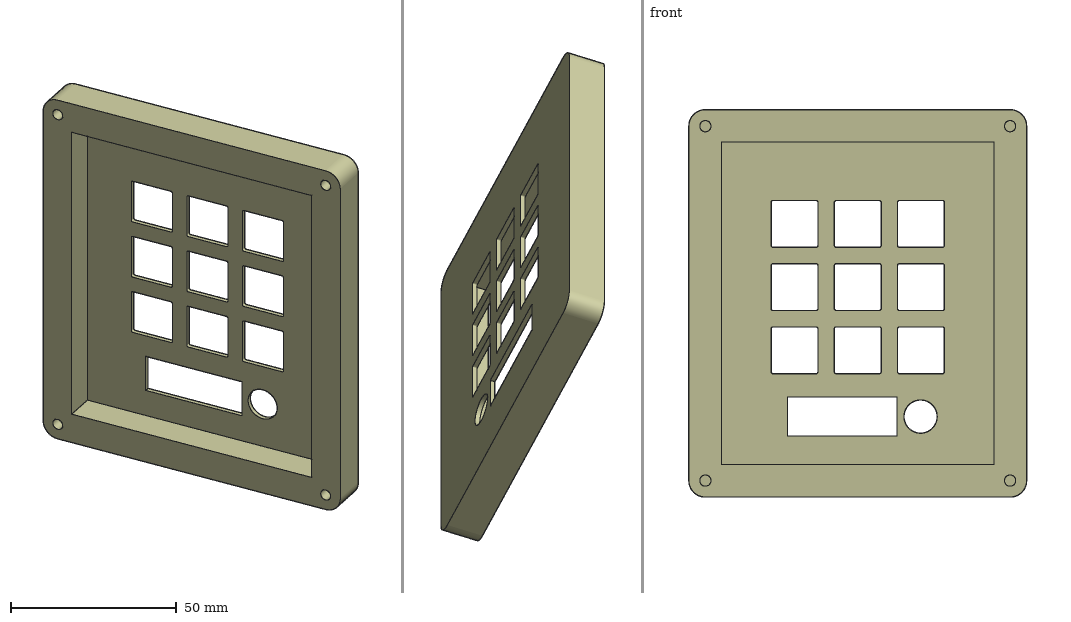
import cadquery as cq

width = 102.0
depth = 11.5
height = 117.0
corner_radius = 5.0

rim_width = 9.8
panel_thickness = 1.5
pocket_depth = depth - panel_thickness

screw_diameter = 3.4
screw_depth = pocket_depth

key_size = 14.0
key_radius = 0.5
key_pitch = 19.1
keys_per_side = 3
key_grid_z = 4.9

lower_row_z = -34.2
window_width = 33.0
window_height = 11.7
window_x = -4.7
round_diameter = 10.0
round_x = 19.0


def front_plane(x=0, z=0):
    """Workplane on the front face: local axes are X and Z, origin at (x, z)."""
    return cq.Workplane("XZ", origin=(x, 0, z))


def block(size_x, size_z, length, x=0, z=0):
    """Rectangular block running from the front face towards +Y."""
    return front_plane(x, z).rect(size_x, size_z).extrude(-length)


def housing():
    body = block(width, height, depth).edges("|Y").fillet(corner_radius)
    pocket = block(width - 2 * rim_width, height - 2 * rim_width, pocket_depth)
    return body.cut(pocket)


def screw_holes():
    spacing_x = width - 2 * corner_radius
    spacing_z = height - 2 * corner_radius
    corners = front_plane().rect(spacing_x, spacing_z, forConstruction=True).vertices()
    return corners.circle(screw_diameter / 2).extrude(-screw_depth)


def key_openings():
    grid = front_plane(z=key_grid_z).rarray(key_pitch, key_pitch, keys_per_side, keys_per_side)
    return grid.rect(key_size, key_size).extrude(-depth).edges("|Y").fillet(key_radius)


def lower_openings():
    window = block(window_width, window_height, depth, window_x, lower_row_z)
    round_opening = front_plane(round_x, lower_row_z).circle(round_diameter / 2).extrude(-depth)
    return window.union(round_opening)


result = housing().cut(screw_holes()).cut(key_openings()).cut(lower_openings())